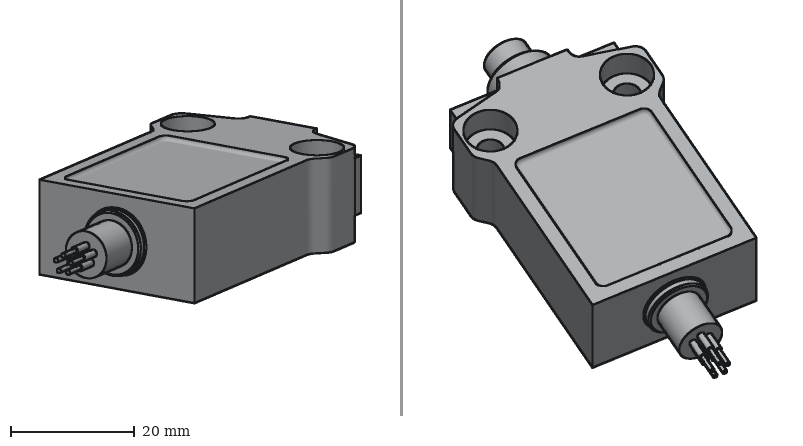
import cadquery as cq
import math


overall_length = 75.18

body_width = 30.0
body_length = 49.15
body_height = 16.0
core_height = 9.7

ear_width = 35.05
neck_width = 12.9
neck_depth = 2.1
shoulder_end = 4.75
ear_end = 12.75
ear_radius = 2.0

hole_spacing = 25.0
hole_offset = 9.2
hole_diameter = 4.5
counterbore_diameter = 8.73
counterbore_depth = 5.0

recess_width = 24.7
recess_length = 30.1
recess_offset = 16.55
recess_depth = 0.8
recess_corner_radius = 1.4

collar_diameter = 11.94
collar_length = 4.55
collar_chamfer = 0.4
plunger_diameter = 7.87
plunger_reach = 10.3
dome_height = 1.15

flange_diameter = 10.92
flange_length = 1.55
flange_chamfer = 0.3
flange_base_flare = 0.25
cable_diameter = 7.87
cable_end = 9.05

conductor_count = 5
conductor_circle_radius = 1.5
insulation_diameter = 1.27
insulation_end = 12.45
wire_diameter = 0.79
wire_end = overall_length - body_length - plunger_reach


def cylinder_along_y(diameter, start_y, end_y, x=0.0, z=0.0):
    """Cylinder parallel to Y between two Y positions."""
    direction = cq.Vector(0, math.copysign(1, end_y - start_y), 0)
    solid = cq.Solid.makeCylinder(diameter / 2, abs(end_y - start_y), cq.Vector(x, start_y, z), direction)
    return cq.Workplane(obj=solid)


def make_body():
    half_body = body_width / 2
    half_ear = ear_width / 2
    half_neck = neck_width / 2
    ear_step = half_ear - half_body
    right_side = [
        (half_body, -body_length),
        (half_body, -ear_end - ear_step),
        (half_ear, -ear_end),
        (half_ear, -shoulder_end),
        (half_neck, -neck_depth),
        (half_neck, 0),
    ]
    left_side = [(-x, y) for x, y in reversed(right_side)]
    housing = (
        cq.Workplane("XY", origin=(0, 0, -body_height / 2))
        .polyline(right_side + left_side)
        .close()
        .extrude(body_height)
    )
    rounded_zone = cq.selectors.BoxSelector(
        (-ear_width, -ear_end - ear_step - ear_radius, -body_height),
        (ear_width, -neck_depth / 2, body_height),
    )
    housing = housing.edges("|Z").edges(rounded_zone).fillet(ear_radius)
    core = cq.Workplane("XY").box(body_width, body_length, core_height)
    return housing.union(core.translate((0, -body_length / 2, 0)))


def cut_mounting_holes(body):
    return (
        body.faces(">Z")
        .workplane(origin=(0, -hole_offset, 0))
        .pushPoints([(-hole_spacing / 2, 0), (hole_spacing / 2, 0)])
        .cboreHole(hole_diameter, counterbore_diameter, counterbore_depth)
    )


def cut_label_recess(body):
    recess = (
        cq.Workplane("XY")
        .box(recess_width, recess_length, 2 * recess_depth)
        .edges("|Z")
        .fillet(recess_corner_radius)
        .faces("<Z")
        .fillet(recess_depth)
    )
    center_y = -recess_offset - recess_length / 2
    return body.cut(recess.translate((0, center_y, body_height / 2)))


def make_plunger():
    collar = cylinder_along_y(collar_diameter, 0, collar_length).faces(">Y").chamfer(collar_chamfer)
    radius = plunger_diameter / 2
    rim_y = plunger_reach - dome_height
    dome_radius = (radius**2 + dome_height**2) / (2 * dome_height)
    half_angle = math.asin(radius / dome_radius) / 2
    dome_center_y = plunger_reach - dome_radius
    arc_middle = (dome_radius * math.sin(half_angle), dome_center_y + dome_radius * math.cos(half_angle))
    plunger = (
        cq.Workplane("XY")
        .lineTo(radius, 0)
        .lineTo(radius, rim_y)
        .threePointArc(arc_middle, (0, plunger_reach))
        .close()
        .revolve(360, (0, 0), (0, 1))
    )
    return collar.union(plunger)


def make_cable_outlet():
    base_y = -body_length
    flange = cylinder_along_y(flange_diameter, base_y, base_y - flange_length)
    flange = flange.faces("<Y").chamfer(flange_chamfer)
    flare_radius = flange_diameter / 2 + flange_base_flare
    flare = cq.Solid.makeCone(
        flare_radius,
        flange_diameter / 2,
        flange_base_flare,
        cq.Vector(0, base_y, 0),
        cq.Vector(0, -1, 0),
    )
    flange = flange.union(cq.Workplane(obj=flare))
    cable_end_y = base_y - cable_end
    outlet = flange.union(cylinder_along_y(cable_diameter, base_y, cable_end_y))
    for index in range(conductor_count):
        angle = math.pi / 2 + index * 2 * math.pi / conductor_count
        x = conductor_circle_radius * math.cos(angle)
        z = conductor_circle_radius * math.sin(angle)
        insulation = cylinder_along_y(insulation_diameter, cable_end_y, base_y - insulation_end, x, z)
        wire = cylinder_along_y(wire_diameter, cable_end_y, base_y - wire_end, x, z)
        outlet = outlet.union(insulation).union(wire)
    return outlet


body = cut_label_recess(cut_mounting_holes(make_body()))
result = body.union(make_plunger()).union(make_cable_outlet())